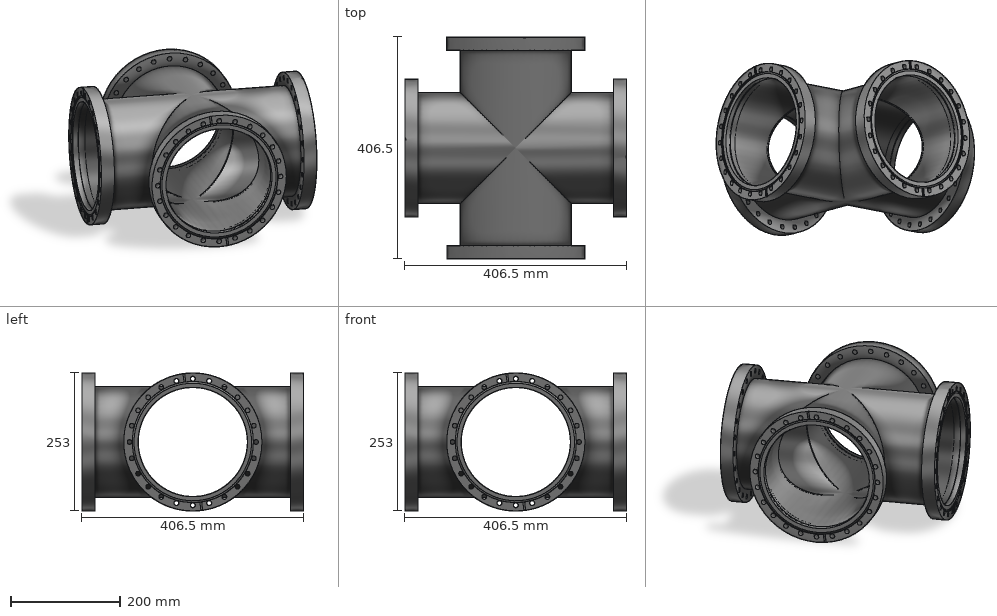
import cadquery as cq

cross_length = 406.5
half_length = cross_length / 2

tube_outer_radius = 102.0
bore_radius = 100.0

flange_diameter = 253.0
flange_radius = flange_diameter / 2
flange_thickness = 24.5
tube_end_depth = 11.8

bolt_count = 24
bolt_circle_radius = 116.0
bolt_hole_diameter = 8.5
bolt_pitch = 360 / bolt_count

recess_radius = 111.0
knife_radius = 107.5
land_depth = 1.2
recess_depth = 2.5

leak_groove_width = 3.3
leak_groove_depth = 1.2
leak_groove_angles = (90 + bolt_pitch / 2, 270 + bolt_pitch / 2)

port_angles = (0, 90, 180, 270)


def crossing_bars(radius, bar_half_length):
    """Two equal round bars crossing at the origin, along X and along Y."""
    along_x = cq.Workplane("YZ").circle(radius).extrude(bar_half_length, both=True)
    along_y = cq.Workplane("XZ").circle(radius).extrude(bar_half_length, both=True)
    return along_x.union(along_y)


def make_tube_cross():
    """Two mitred tubes whose four ends stop inside the flange sockets."""
    tube_half_length = half_length - tube_end_depth
    outside = crossing_bars(tube_outer_radius, tube_half_length)
    inside = crossing_bars(bore_radius, half_length)
    return outside.cut(inside)


def flange_ring():
    """Flange with its sealing recess and tube socket, revolved about Z with the face at Z = 0."""
    section = [
        (bore_radius, -land_depth),
        (knife_radius, -land_depth),
        (recess_radius, -recess_depth),
        (recess_radius, 0),
        (flange_radius, 0),
        (flange_radius, -flange_thickness),
        (tube_outer_radius, -flange_thickness),
        (tube_outer_radius, -tube_end_depth),
        (bore_radius, -tube_end_depth),
    ]
    return cq.Workplane("XZ").polyline(section).close().revolve(360, (0, 0), (0, 1))


def bolt_holes():
    """Through holes evenly spaced on the bolt circle."""
    return (
        cq.Workplane("XY")
        .polarArray(bolt_circle_radius, 0, 360, bolt_count)
        .circle(bolt_hole_diameter / 2)
        .extrude(-flange_thickness)
    )


def leak_groove(angle):
    """Radial groove in the face, from the recess out through the rim."""
    groove_start = (knife_radius + recess_radius) / 2
    groove_length = flange_radius + leak_groove_width - groove_start
    return (
        cq.Workplane("XY")
        .center(groove_start + groove_length / 2, 0)
        .rect(groove_length, leak_groove_width)
        .extrude(-leak_groove_depth)
        .rotate((0, 0, 0), (0, 0, 1), angle)
    )


def make_flange(port_angle):
    """One flange, placed on the port that lies port_angle round from -Y."""
    flange = flange_ring().cut(bolt_holes())
    for groove_angle in leak_groove_angles:
        flange = flange.cut(leak_groove(groove_angle))
    facing_minus_y = flange.rotate((0, 0, 0), (1, 0, 0), 90).translate((0, -half_length, 0))
    return facing_minus_y.rotate((0, 0, 0), (0, 0, 1), port_angle)


tube_cross = make_tube_cross()
flanges = [make_flange(port_angle) for port_angle in port_angles]

result = cq.Compound.makeCompound([tube_cross.val(), *[flange.val() for flange in flanges]])